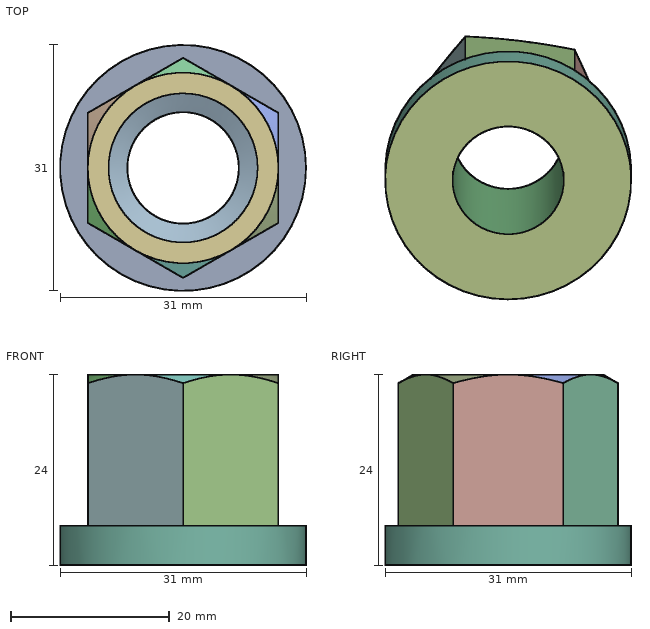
import cadquery as cq
import math

flange_diameter = 31.0
flange_thickness = 5.0
total_height = 24.0
across_flats = 24.0
bore_diameter = 14.0
countersink_diameter = 18.8
chamfer_angle = math.radians(30)

across_corners = across_flats / math.cos(math.pi / 6)
corner_drop = (across_corners - across_flats) / 2 * math.tan(chamfer_angle)
countersink_depth = (countersink_diameter - bore_diameter) / 2 * math.tan(chamfer_angle)


def chamfered_hexagon():
    """Hexagon with corners on the Y axis, trimmed by a cone at the top."""
    hexagon = (
        cq.Workplane("XY")
        .polygon(6, across_corners)
        .extrude(total_height)
        .rotate((0, 0, 0), (0, 0, 1), 90)
    )
    envelope = (
        cq.Workplane("XZ")
        .moveTo(0, 0)
        .lineTo(across_corners / 2, 0)
        .lineTo(across_corners / 2, total_height - corner_drop)
        .lineTo(across_flats / 2, total_height)
        .lineTo(0, total_height)
        .close()
        .revolve(360, (0, 0, 0), (0, 1, 0))
    )
    return hexagon.intersect(envelope)


def countersunk_bore():
    """Through bore opening into a wide cone at the top."""
    return (
        cq.Workplane("XZ")
        .moveTo(0, 0)
        .lineTo(bore_diameter / 2, 0)
        .lineTo(bore_diameter / 2, total_height - countersink_depth)
        .lineTo(countersink_diameter / 2, total_height)
        .lineTo(0, total_height)
        .close()
        .revolve(360, (0, 0, 0), (0, 1, 0))
    )


flange = cq.Workplane("XY").circle(flange_diameter / 2).extrude(flange_thickness)
result = flange.union(chamfered_hexagon()).cut(countersunk_bore())